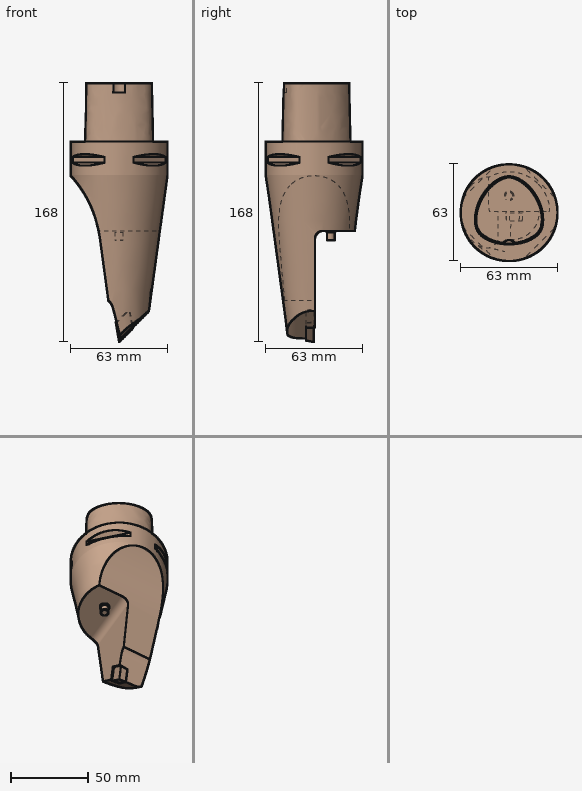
import cadquery as cq
import math


shank_length = 38.0
shank_radius_base = 22.2
shank_radius_top = 21.3
lobe_height = 1.5
lobe_points = 36
notch_radius = 4.7
notch_depth_z = 6.0
notch_reach_y = -17.8

flange_diameter = 63.0
flange_radius = flange_diameter / 2
flange_height = 21.8
slot_count = 4
slot_floor_distance = 27.9
slot_floor_height = 3.5
slot_rim_height = 7.5
slot_middle_z = -11.8

tip_z = shank_length - 168
cone_slope = 0.137

flank_top_z = -22.0
arc_end_x = -12.6
arc_end_z = -62.2
step_top_x = -7.0
step_top_z = -103.0
step_foot_x = -4.0
step_foot_z = -108.0
lower_flank_slope = 0.26

chip_face_y = 0.7
shoulder_z = -58.0
shoulder_fillet = 5.0

edge_angle = 45
heel_inner_z = -129.3
heel_outer_y = -11.8
heel_outer_z = -128.5
heel_end_y = -17.8
heel_end_z = -125.5

nozzle_y = 11.0
nozzle_collar_diameter = 6.2
nozzle_diameter = 5.2
nozzle_collar_height = 0.8
nozzle_length = 6.0
nozzle_chamfer = 0.3

insert_side = 12.8
insert_angle = 55
insert_thickness = 5.2
insert_clearance = 5
insert_face_y = -0.2

overshoot = 8.4


def lobed_wire(radius, z):
    """Closed curve of constant width with lobes every 120 degrees, one at +Y."""
    def point(angle):
        phase = 3 * (angle - math.pi / 2)
        support = radius + lobe_height * math.cos(phase)
        slope = -3 * lobe_height * math.sin(phase)
        return cq.Vector(
            support * math.cos(angle) - slope * math.sin(angle),
            support * math.sin(angle) + slope * math.cos(angle),
            z,
        )

    points = [point(2 * math.pi * i / lobe_points) for i in range(lobe_points)]
    return cq.Wire.assembleEdges([cq.Edge.makeSpline(points, periodic=True)])


def make_shank():
    shank = cq.Workplane(
        cq.Solid.makeLoft([lobed_wire(shank_radius_base, 0), lobed_wire(shank_radius_top, shank_length)])
    )
    notch = (
        cq.Workplane("XY", origin=(0, notch_reach_y - notch_radius, shank_length - notch_depth_z))
        .circle(notch_radius)
        .extrude(notch_depth_z + overshoot)
    )
    return shank.cut(notch)


def gripper_slot(angle):
    """Straight trapezoidal groove across the flange rim, widening outwards."""
    depth = flange_radius - slot_floor_distance
    flare = (slot_rim_height - slot_floor_height) / 2 / depth
    outer_x = flange_radius + overshoot
    floor_half = slot_floor_height / 2
    outer_half = floor_half + flare * (outer_x - slot_floor_distance)
    return (
        cq.Workplane("XZ", origin=(0, 0, slot_middle_z))
        .polyline([
            (slot_floor_distance, -floor_half),
            (outer_x, -outer_half),
            (outer_x, outer_half),
            (slot_floor_distance, floor_half),
        ])
        .close()
        .extrude(flange_radius, both=True)
        .rotate((0, 0, 0), (0, 0, 1), angle)
    )


def make_flange():
    flange = cq.Workplane("XY").circle(flange_radius).extrude(-flange_height)
    for i in range(slot_count):
        flange = flange.cut(gripper_slot((i + 0.5) * 360 / slot_count))
    return flange


def flank_cut():
    """Material removed from the -X side: a large arc, a taper, a small step and a second taper."""
    end_z = tip_z - overshoot
    end_x = step_foot_x + lower_flank_slope * (step_foot_z - end_z)
    outside_x = -flange_radius - overshoot
    return (
        cq.Workplane("XZ")
        .moveTo(end_x, end_z)
        .lineTo(step_foot_x, step_foot_z)
        .tangentArcPoint((step_top_x, step_top_z), relative=False)
        .lineTo(arc_end_x, arc_end_z)
        .tangentArcPoint((-flange_radius, flank_top_z), relative=False)
        .lineTo(outside_x, flank_top_z)
        .lineTo(outside_x, end_z)
        .close()
        .extrude(flange_radius + overshoot, both=True)
    )


def chip_space_cut():
    """Material removed from the +Y side below the shoulder, with a filleted inner corner."""
    diagonal = shoulder_fillet * (1 - math.sqrt(0.5))
    outside_y = flange_radius + overshoot
    end_z = tip_z - overshoot
    return (
        cq.Workplane("YZ")
        .moveTo(chip_face_y, end_z)
        .lineTo(chip_face_y, shoulder_z - shoulder_fillet)
        .threePointArc(
            (chip_face_y + diagonal, shoulder_z - diagonal),
            (chip_face_y + shoulder_fillet, shoulder_z),
        )
        .lineTo(outside_y, shoulder_z)
        .lineTo(outside_y, end_z)
        .close()
        .extrude(flange_radius + overshoot, both=True)
    )


def bottom_relief_cut():
    """Material removed below the slanted bottom, whose outer edge rolls up towards -Y."""
    slant = math.radians(edge_angle)
    plane = cq.Plane(
        origin=(0, 0, 0), xDir=(0, 1, 0), normal=(math.cos(slant), 0, math.sin(slant))
    )
    up = math.cos(slant)
    below = (tip_z - 4 * overshoot) * up
    outside_y = -flange_radius - overshoot
    reach = 2 * flange_diameter
    return (
        cq.Workplane(plane)
        .moveTo(chip_face_y + overshoot, heel_inner_z * up)
        .lineTo(chip_face_y, heel_inner_z * up)
        .lineTo(heel_outer_y, heel_outer_z * up)
        .tangentArcPoint((heel_end_y, heel_end_z * up), relative=False)
        .lineTo(outside_y, (heel_end_z + heel_end_y - outside_y) * up)
        .lineTo(outside_y, below)
        .lineTo(chip_face_y + overshoot, below)
        .close()
        .extrude(reach, both=True)
    )


def make_neck():
    neck_end_z = tip_z - overshoot
    end_radius = flange_radius + cone_slope * (neck_end_z + flange_height)
    cone = cq.Workplane(
        cq.Solid.makeCone(
            flange_radius, end_radius, -flange_height - neck_end_z,
            pnt=cq.Vector(0, 0, -flange_height), dir=cq.Vector(0, 0, -1),
        )
    )
    return cone.cut(flank_cut()).cut(chip_space_cut()).cut(bottom_relief_cut())


def make_nozzle():
    radius = nozzle_diameter / 2
    return (
        cq.Workplane("XZ", origin=(0, nozzle_y, shoulder_z))
        .polyline([
            (0, 0),
            (nozzle_collar_diameter / 2, 0),
            (radius, -nozzle_collar_height),
            (radius, nozzle_chamfer - nozzle_length),
            (radius - nozzle_chamfer, -nozzle_length),
            (0, -nozzle_length),
        ])
        .close()
        .revolve(360, (0, 0, 0), (0, 1, 0))
    )


def insert_outline(face_y):
    """Rhombus in an XZ plane with its acute corner at the tool tip."""
    lower = math.radians(edge_angle)
    upper = math.radians(edge_angle + insert_angle)
    lower_edge = (insert_side * math.cos(lower), insert_side * math.sin(lower))
    upper_edge = (insert_side * math.cos(upper), insert_side * math.sin(upper))
    far_corner = (lower_edge[0] + upper_edge[0], lower_edge[1] + upper_edge[1])
    return (
        cq.Workplane("XZ", origin=(0, face_y, tip_z))
        .polyline([(0, 0), lower_edge, far_corner, upper_edge])
        .close()
    )


def make_insert():
    return insert_outline(insert_face_y).extrude(insert_thickness, taper=insert_clearance)


def make_holder(insert):
    holder = make_flange().union(make_shank()).union(make_neck()).union(make_nozzle())
    pocket_mouth = insert_outline(insert_face_y).extrude(insert_face_y - chip_face_y - overshoot)
    return holder.cut(insert).cut(pocket_mouth)


insert = make_insert()
holder = make_holder(insert)
result = cq.Compound.makeCompound([holder.val(), insert.val()])